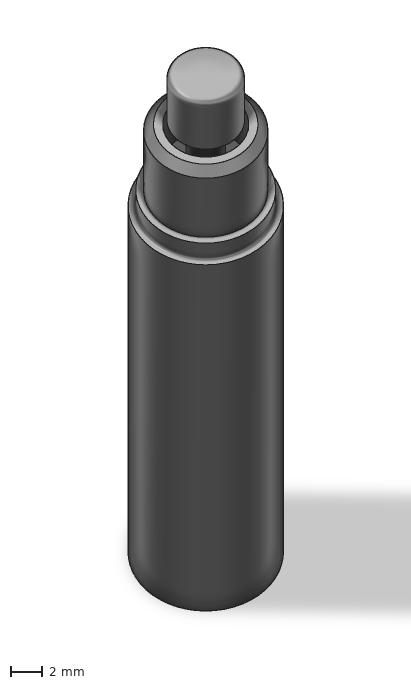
import cadquery as cq
import math

total_length = 47.6

body_diameter = 10.0
collar_diameter = 9.0
nose_diameter = 8.0
nose_tip_diameter = 6.7

nose_top = total_length - 5.0
collar_top = total_length - 11.5
body_top = total_length - 13.1
collar_fillet = 0.3

head_diameter = 5.0
head_length = 4.5
head_fillet = 0.48
stem_diameter = 2.5

recess_diameter = 5.5
recess_depth = 4.0

recess_floor = nose_top - recess_depth
nose_chamfer = (nose_diameter - nose_tip_diameter) / 2
head_bottom = total_length - head_length


def make_housing():
    """Stepped round housing with a chamfered nose and an open recess on top."""
    body_radius = body_diameter / 2
    collar_radius = collar_diameter / 2
    nose_radius = nose_diameter / 2
    recess_radius = recess_diameter / 2

    fillet_center_radius = collar_radius + collar_fillet
    fillet_center_height = body_top + collar_fillet
    fillet_middle_offset = collar_fillet * math.sqrt(0.5)
    fillet_middle = (
        fillet_center_radius - fillet_middle_offset,
        fillet_center_height - fillet_middle_offset,
    )

    profile = (
        cq.Workplane("XZ")
        .lineTo(body_radius, 0)
        .lineTo(body_radius, body_top)
        .lineTo(fillet_center_radius, body_top)
        .threePointArc(fillet_middle, (collar_radius, fillet_center_height))
        .lineTo(collar_radius, collar_top)
        .lineTo(nose_radius, collar_top)
        .lineTo(nose_radius, nose_top - nose_chamfer)
        .lineTo(nose_tip_diameter / 2, nose_top)
        .lineTo(recess_radius, nose_top)
        .lineTo(recess_radius, recess_floor)
        .lineTo(0, recess_floor)
        .close()
    )
    return profile.revolve(360, (0, 0), (0, 1))


def make_plunger():
    """Thin stem standing on the recess floor, carrying a wider rounded head."""
    stem = cq.Workplane("XY", origin=(0, 0, recess_floor)).circle(stem_diameter / 2).extrude(
        head_bottom - recess_floor
    )
    head = (
        cq.Workplane("XY", origin=(0, 0, head_bottom))
        .circle(head_diameter / 2)
        .extrude(head_length)
        .faces(">Z")
        .edges()
        .fillet(head_fillet)
    )
    return stem.union(head)


housing = make_housing()
plunger = make_plunger()

result = cq.Compound.makeCompound([housing.val(), plunger.val()])